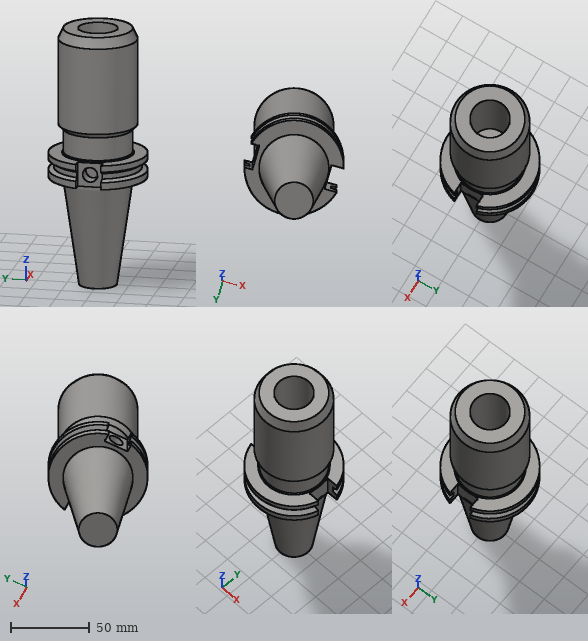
import cadquery as cq


gauge_diameter = 44.45
taper_length = 68.25
taper_ratio = 7 / 24
shank_end_radius = (gauge_diameter - taper_ratio * taper_length) / 2

flange_diameter = 63.5
flange_bottom = 3.175
flange_height = 15.875
flange_top = flange_bottom + flange_height
flange_middle = flange_bottom + flange_height / 2

groove_radius = 28.18
groove_lower_edge = 7.9
groove_floor_bottom = 9.3
groove_floor_top = 12.9
groove_upper_edge = 14.9

gauge_to_nose = 101.6
neck_radius = gauge_diameter / 2
body_radius = 50.8 / 2
body_bottom = 35.0
body_bottom_chamfer = body_radius - neck_radius
nose_chamfer_height = 6.8
nose_face_radius = neck_radius

neck_fillet = 0.8

bore_diameter = 25.4
bore_depth = 57.15

slot_width = 16.383
slot_floor_minus_x = 25.2
slot_floor_plus_x = 22.61

side_hole_diameter = 9.525
side_hole_depth = 10.0


def turned_body():
    """Shank, grooved flange, neck and nose as one revolved profile."""
    flange_radius = flange_diameter / 2
    profile = (
        cq.Workplane("XZ")
        .moveTo(0, -taper_length)
        .lineTo(shank_end_radius, -taper_length)
        .lineTo(gauge_diameter / 2, 0)
        .lineTo(gauge_diameter / 2, flange_bottom)
        .lineTo(flange_radius, flange_bottom)
        .lineTo(flange_radius, groove_lower_edge)
        .lineTo(groove_radius, groove_floor_bottom)
        .lineTo(groove_radius, groove_floor_top)
        .lineTo(flange_radius, groove_upper_edge)
        .lineTo(flange_radius, flange_top)
        .lineTo(neck_radius + neck_fillet, flange_top)
        .radiusArc((neck_radius, flange_top + neck_fillet), neck_fillet)
        .lineTo(neck_radius, body_bottom)
        .lineTo(body_radius, body_bottom + body_bottom_chamfer)
        .lineTo(body_radius, gauge_to_nose - nose_chamfer_height)
        .lineTo(nose_face_radius, gauge_to_nose)
        .lineTo(0, gauge_to_nose)
        .close()
    )
    return profile.revolve(360, (0, 0, 0), (0, 1, 0))


def tool_bore():
    """Blind bore sunk from the nose face."""
    return (
        cq.Workplane("XY", origin=(0, 0, gauge_to_nose))
        .circle(bore_diameter / 2)
        .extrude(-bore_depth)
    )


def drive_slot(floor_distance, side):
    """Slot through the flange height; side is +1 for +X and -1 for -X."""
    radial_depth = flange_diameter / 2 - floor_distance
    center_x = side * (floor_distance + radial_depth / 2)
    return cq.Workplane("XY", origin=(center_x, 0, flange_middle)).box(
        radial_depth, slot_width, flange_height
    )


def side_hole():
    """Radial blind hole in the middle of the -X slot floor."""
    return (
        cq.Workplane("YZ", origin=(-slot_floor_minus_x, 0, flange_middle))
        .circle(side_hole_diameter / 2)
        .extrude(side_hole_depth)
    )


result = (
    turned_body()
    .cut(tool_bore())
    .cut(drive_slot(slot_floor_minus_x, -1))
    .cut(drive_slot(slot_floor_plus_x, 1))
    .cut(side_hole())
)